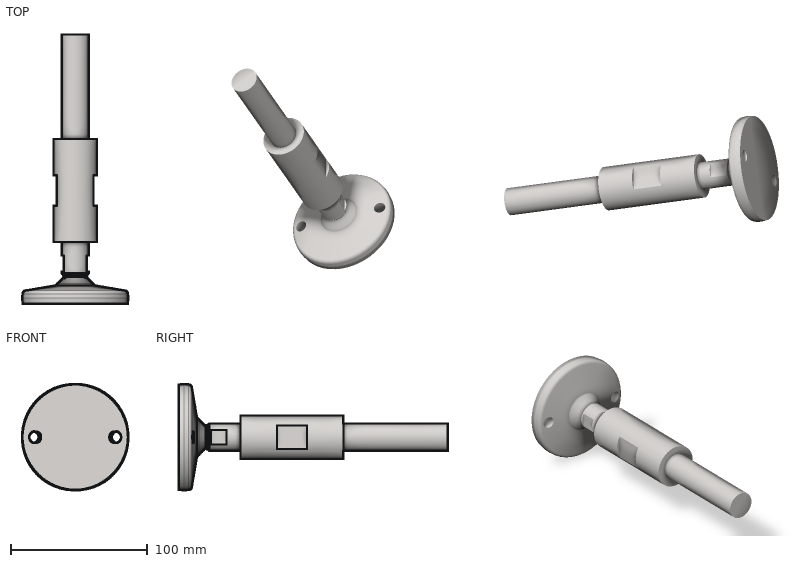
import cadquery as cq
import math


total_length = 197.0

foot_radius = 39.0
foot_bottom_radius = 38.5
rim_bottom = 4.1
rim_top = 7.1
rim_top_radius = 38.7
corner_height = 9.4
neck_foot_radius = 14.4
neck_foot_height = 13.5
flare_radius = 12.9
flare_height = 15.0
flare_sag = 0.1
lip_bottom_radius = 8.3
lip_bottom_height = 19.6
lip_top_radius = 8.9
foot_height = 20.8

plate_slope = math.atan2(neck_foot_height - corner_height, rim_top_radius - neck_foot_radius)
rounding_reach = corner_height - rim_top
shoulder_radius = rim_top_radius - rounding_reach * math.cos(plate_slope)
shoulder_height = corner_height + rounding_reach * math.sin(plate_slope)

bolt_hole_diameter = 8.5
bolt_hole_offset = 29.2
bolt_hole_reach = 20.0

ball_radius = 9.0
ball_height = 15.0
stud_diameter = 20.0
stud_bottom = 22.0
stud_chamfer = 0.5
stud_flat_width = 17.0
stud_flat_start = 23.7
stud_flat_length = 11.5

sleeve_diameter = 32.0
sleeve_bottom = 45.2
sleeve_length = 75.4
sleeve_flat_width = 27.0
sleeve_flat_length = 22.0


def cylinder(diameter, start, length):
    """Round bar along Y, beginning at Y = start."""
    profile = cq.Workplane("XZ", origin=(0, start, 0)).circle(diameter / 2)
    return profile.extrude(-length)


def ball():
    """Ball that fills the socket of the foot and carries the stud."""
    return cq.Workplane("XY").sphere(ball_radius).translate((0, ball_height, 0))


def cut_wrench_flats(body, diameter, across_flats, start, length):
    """Cut two opposite flats facing -X and +X."""
    depth = (diameter - across_flats) / 2
    for side in (-1, 1):
        cutter = cq.Workplane("XY").box(2 * depth, length, diameter)
        cutter = cutter.translate((side * diameter / 2, start + length / 2, 0))
        body = body.cut(cutter)
    return body


def make_foot():
    """Turned plate and neck with two slanted holes and a ball socket."""
    outline = (
        cq.Workplane("XY")
        .moveTo(0, foot_height)
        .lineTo(lip_top_radius, foot_height)
        .lineTo(lip_bottom_radius, lip_bottom_height)
        .sagittaArc((flare_radius, flare_height), -flare_sag)
        .lineTo(neck_foot_radius, neck_foot_height)
        .lineTo(shoulder_radius, shoulder_height)
        .tangentArcPoint((rim_top_radius, rim_top), relative=False)
        .lineTo(foot_radius, rim_bottom)
        .lineTo(foot_bottom_radius, 0)
        .lineTo(0, 0)
        .close()
    )
    foot = outline.revolve(360, (0, 0, 0), (0, 1, 0))
    for side in (-1, 1):
        hole = cylinder(bolt_hole_diameter, -bolt_hole_reach, 2 * bolt_hole_reach)
        hole = hole.rotate((0, 0, 0), (0, 0, 1), -side * math.degrees(plate_slope))
        foot = foot.cut(hole.translate((side * bolt_hole_offset, 0, 0)))
    return foot.cut(ball())


def make_stud():
    """Round shank with wrench flats, joined to the ball at its lower end."""
    shank = cylinder(stud_diameter, stud_bottom, total_length - stud_bottom)
    shank = shank.faces("<Y").chamfer(stud_chamfer)
    shank = cut_wrench_flats(shank, stud_diameter, stud_flat_width, stud_flat_start, stud_flat_length)
    return shank.union(ball())


def make_sleeve():
    """Tube around the stud with two wrench flats at mid-length."""
    sleeve = cylinder(sleeve_diameter, sleeve_bottom, sleeve_length)
    sleeve = sleeve.cut(cylinder(stud_diameter, sleeve_bottom, sleeve_length))
    flat_start = sleeve_bottom + (sleeve_length - sleeve_flat_length) / 2
    return cut_wrench_flats(sleeve, sleeve_diameter, sleeve_flat_width, flat_start, sleeve_flat_length)


foot = make_foot()
stud = make_stud()
sleeve = make_sleeve()

result = cq.Compound.makeCompound([foot.val(), stud.val(), sleeve.val()])